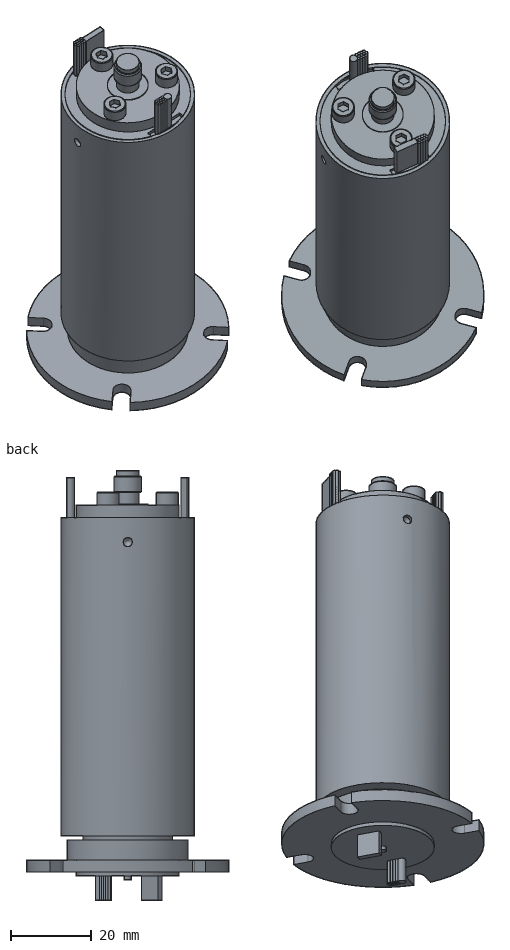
import cadquery as cq
import math

PIN_BOTTOM = 5.1
PILOT_BOTTOM = 6.1
FLANGE_BOTTOM = 7.0
FLANGE_TOP = 10.0
COLLAR_TOP = 15.0
BODY_BOTTOM = 15.9
BODY_TOP = 94.6
COVER_TOP = 97.7
TERMINAL_TOP = 104.5
TOTAL_HEIGHT = 106.2

PIN_DIA = 1.8
PILOT_DIA = 25.5
FLANGE_DIA = 50.0
COLLAR_DIA = 30.0
NECK_DIA = 22.2
BODY_DIA = 33.0
COVER_DIA = 25.5

RIM_BORE_DIA = 31.0
RIM_DEPTH = 0.2

SLOT_COUNT = 4
SLOT_WIDTH = 4.5
SLOT_CENTRE_RADIUS = 21.0

SIDE_HOLE_DIA = 2.2
SIDE_HOLE_Z = 88.6
SIDE_HOLE_DEPTH = 1.1
SIDE_HOLE_POINT_ANGLE = 90

WASHER_DIA = 10.1
WASHER_HEIGHT = 0.2
STEM_DIA = 5.6
KNOB_DIA = 6.9
KNOB_BOTTOM = 100.8
KNOB_TOP = 104.9
KNOB_CHAMFER = 0.3

SCREW_COUNT = 3
FIRST_SCREW_ANGLE = 60
SCREW_CIRCLE_RADIUS = 9.8
SCREW_HEAD_DIA = 5.5
SCREW_HEAD_HEIGHT = 3.2
SCREW_EDGE_CHAMFER = 0.2
SOCKET_ACROSS_FLATS = 2.5
SOCKET_DEPTH = 1.5
SOCKET_SIDES = 6

POCKET_LENGTH = 10.4
POCKET_INNER_RADIUS = 13.2
POCKET_SHIFT = 0.3
POCKET_DEPTH = 1.1
POCKET_CLEARANCE = 0.1
BLADE_LENGTH = 5.8
BLADE_THICKNESS = 1.5
BLADE_END_Y = 3.7
LEAD_DIA = 1.9
LEAD_END_Y = 1.7
STRAND_DIA = 0.69
STRAND_ROWS = 3
STRANDS_PER_ROW = 4
ROW_PITCH = STRAND_DIA * math.sin(math.radians(60))
BUNDLE_WIDTH = STRAND_DIA + (STRAND_ROWS - 1) * ROW_PITCH
LOWER_TERMINAL_RADIUS = 8.4
LOWER_TERMINAL_ANGLE = 45

OVERLAP = 0.04


def disc(diameter, bottom, top, x=0, y=0):
    """Upright cylinder between two heights."""
    return cq.Workplane("XY", origin=(x, y, bottom)).circle(diameter / 2).extrude(top - bottom)


def box(x_min, x_max, y_min, y_max, bottom, top):
    """Upright block between two corners."""
    base = cq.Workplane("XY", origin=((x_min + x_max) / 2, (y_min + y_max) / 2, bottom))
    return base.rect(x_max - x_min, y_max - y_min).extrude(top - bottom)


def turn(shape, angle):
    """Shape rotated about the part's axis."""
    return shape.rotate((0, 0, 0), (0, 0, 1), angle)


def make_flange():
    flange = disc(FLANGE_DIA, FLANGE_BOTTOM, FLANGE_TOP)
    slot = disc(SLOT_WIDTH, FLANGE_BOTTOM, FLANGE_TOP, x=SLOT_CENTRE_RADIUS).union(
        box(SLOT_CENTRE_RADIUS, FLANGE_DIA, -SLOT_WIDTH / 2, SLOT_WIDTH / 2, FLANGE_BOTTOM, FLANGE_TOP)
    )
    for i in range(SLOT_COUNT):
        flange = flange.cut(turn(slot, (i + 0.5) * 360 / SLOT_COUNT))
    return flange


def make_pocket(terminal_width):
    """Terminal pocket on the +X side, stopped by the rim."""
    pocket = box(
        POCKET_INNER_RADIUS, POCKET_INNER_RADIUS + terminal_width + POCKET_CLEARANCE,
        POCKET_SHIFT - POCKET_LENGTH / 2, POCKET_SHIFT + POCKET_LENGTH / 2,
        BODY_TOP - POCKET_DEPTH, BODY_TOP,
    )
    return pocket.intersect(disc(RIM_BORE_DIA, BODY_TOP - POCKET_DEPTH, BODY_TOP))


def make_side_hole():
    """Radial hole in the -Y side, ending in a drill point."""
    radius = SIDE_HOLE_DIA / 2
    wall_y = -BODY_DIA / 2
    floor_y = wall_y + SIDE_HOLE_DEPTH
    point_y = floor_y + radius / math.tan(math.radians(SIDE_HOLE_POINT_ANGLE / 2))
    half_section = [(0, wall_y), (radius, wall_y), (radius, floor_y), (0, point_y)]
    hole = cq.Workplane("XY").polyline(half_section).close()
    return hole.revolve(360, (0, 0, 0), (0, 1, 0)).translate((0, 0, SIDE_HOLE_Z))


def make_body():
    body = disc(BODY_DIA, BODY_BOTTOM, BODY_TOP)
    body = body.cut(disc(RIM_BORE_DIA, BODY_TOP - RIM_DEPTH, BODY_TOP))
    body = body.cut(turn(make_pocket(BLADE_THICKNESS), 180)).cut(make_pocket(BUNDLE_WIDTH))
    for angle in (0, 180):
        body = body.cut(turn(make_side_hole(), angle))
    return body


def make_stem():
    knob = disc(KNOB_DIA, KNOB_BOTTOM, KNOB_TOP).faces("<Z or >Z").chamfer(KNOB_CHAMFER)
    stem = disc(STEM_DIA, COVER_TOP, TOTAL_HEIGHT)
    return stem.union(knob).union(disc(WASHER_DIA, COVER_TOP, COVER_TOP + WASHER_HEIGHT))


def make_screw():
    """Screw head on the +X side with a hexagon socket, flats toward the axis."""
    half_side_angle = 180 / SOCKET_SIDES
    head_top = COVER_TOP + SCREW_HEAD_HEIGHT
    head = disc(SCREW_HEAD_DIA, COVER_TOP, head_top).faces(">Z").chamfer(SCREW_EDGE_CHAMFER)
    across_corners = SOCKET_ACROSS_FLATS / math.cos(math.radians(half_side_angle))
    socket = cq.Workplane("XY", origin=(0, 0, head_top - SOCKET_DEPTH))
    socket = socket.polygon(SOCKET_SIDES, across_corners).extrude(SOCKET_DEPTH)
    return head.cut(turn(socket, half_side_angle)).translate((SCREW_CIRCLE_RADIUS, 0, 0))


def make_bundle(x_inner, y_start, bottom, top):
    """Staggered rows of strands, running toward -Y from y_start."""
    bundle = cq.Workplane("XY")
    for row in range(STRAND_ROWS):
        x = x_inner + STRAND_DIA / 2 + row * ROW_PITCH
        stagger = STRAND_DIA / 2 if row % 2 else 0
        for i in range(STRANDS_PER_ROW):
            y = y_start - STRAND_DIA / 2 - stagger - i * STRAND_DIA
            bundle = bundle.union(disc(STRAND_DIA + OVERLAP, bottom, top, x, y))
    return bundle


def make_lead(x_inner, y_end, bottom, top):
    """Round lead at the +Y end with a strand bundle beside it."""
    lead = disc(LEAD_DIA, bottom, top, x_inner + BUNDLE_WIDTH / 2, y_end - LEAD_DIA / 2)
    return lead.union(make_bundle(x_inner, y_end - LEAD_DIA + STRAND_DIA / 4, bottom, top))


def make_upper_terminals():
    bottom = BODY_TOP - POCKET_DEPTH
    blade_y = BLADE_END_Y - BLADE_LENGTH
    blade_x = -POCKET_INNER_RADIUS - BLADE_THICKNESS
    blade = box(blade_x, -POCKET_INNER_RADIUS, blade_y, BLADE_END_Y, bottom, TERMINAL_TOP)
    strands = make_bundle(-POCKET_INNER_RADIUS - BUNDLE_WIDTH, blade_y, bottom, TERMINAL_TOP)
    lead = make_lead(POCKET_INNER_RADIUS, LEAD_END_Y, bottom, TERMINAL_TOP)
    return blade.union(strands).union(lead)


def make_lower_terminals():
    inner = LOWER_TERMINAL_RADIUS - BLADE_THICKNESS / 2
    blade = box(
        -inner - BLADE_THICKNESS, -inner, -BLADE_LENGTH / 2, BLADE_LENGTH / 2, 0, PILOT_BOTTOM
    )
    lead_length = LEAD_DIA + (STRANDS_PER_ROW + 0.5) * STRAND_DIA
    lead = make_lead(LOWER_TERMINAL_RADIUS - BUNDLE_WIDTH / 2, lead_length / 2, 0, PILOT_BOTTOM)
    return turn(blade.union(lead.mirror("XZ")), LOWER_TERMINAL_ANGLE)


result = make_flange().union(make_body())
result = result.union(disc(PIN_DIA, PIN_BOTTOM, PILOT_BOTTOM))
result = result.union(disc(PILOT_DIA, PILOT_BOTTOM, FLANGE_BOTTOM))
result = result.union(disc(COLLAR_DIA, FLANGE_TOP, COLLAR_TOP))
result = result.union(disc(NECK_DIA, COLLAR_TOP, BODY_BOTTOM))
result = result.union(disc(COVER_DIA, BODY_TOP - RIM_DEPTH, COVER_TOP))
result = result.union(make_stem())
for n in range(SCREW_COUNT):
    result = result.union(turn(make_screw(), FIRST_SCREW_ANGLE + n * 360 / SCREW_COUNT))
result = result.union(make_upper_terminals()).union(make_lower_terminals())